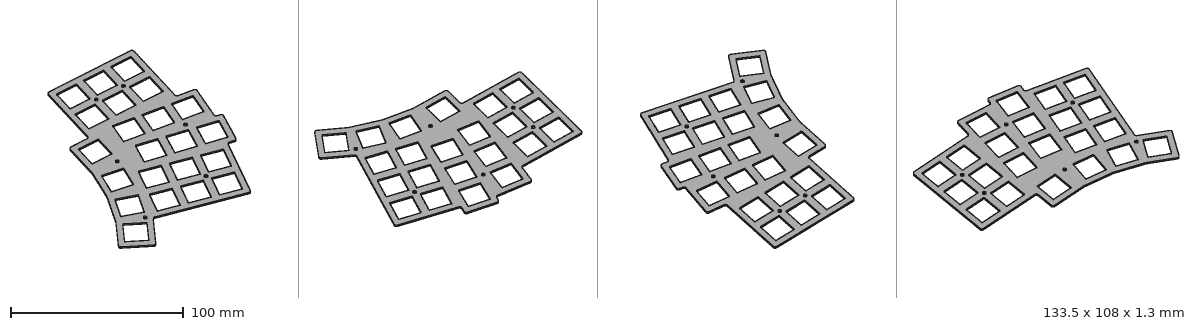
import cadquery as cq
import math

THICKNESS = 1.3
KEY_PITCH = 19.1
KEY_OPENING = 14.0
RIM = 1.3
EDGE_OFFSET = KEY_PITCH / 2 + RIM
CORNER_RADIUS = 1.3
SCREW_HOLE_DIAMETER = 2.1
ROWS = 3
PLATE_LENGTH = 133.5



def neighbour_key(key, columns, rows):
    """Key a number of pitches away, along the tilted axes of the given key."""
    x, y, tilt = key
    cos_tilt = math.cos(math.radians(tilt))
    sin_tilt = math.sin(math.radians(tilt))
    across = columns * KEY_PITCH
    up = rows * KEY_PITCH
    return (x + across * cos_tilt - up * sin_tilt, y + across * sin_tilt + up * cos_tilt, tilt)


outer_pinky = (-PLATE_LENGTH / 2 + EDGE_OFFSET, 29.0, 0)
inner_pinky = neighbour_key(outer_pinky, 1, 0)
ring = (-11.2, 40.5, -7.5)
middle = (12.7, 41.3, -12.5)
index = (32.3, 30.5, -15)
inner_index = neighbour_key(index, 1, 0)
column_tops = [outer_pinky, inner_pinky, ring, middle, index, inner_index]

thumb_1 = (-13.1, -23.2, 0)
thumb_2 = (12.7, -25.2, -10)
thumb_3 = (33.3, -30.8, -20)
THUMB_4_TILT = -30
CORNER_CENTER_REACH = (EDGE_OFFSET - CORNER_RADIUS) * math.sqrt(2) * math.cos(math.radians(45 + THUMB_4_TILT))
thumb_4 = (PLATE_LENGTH / 2 - CORNER_RADIUS - CORNER_CENTER_REACH, -39.7, THUMB_4_TILT)

keys = [neighbour_key(top, 0, -row) for top in column_tops for row in range(ROWS)]
keys += [thumb_1, thumb_2, thumb_3, thumb_4]

screw_points = [
    neighbour_key(outer_pinky, 0.5, -0.5)[:2],
    neighbour_key(outer_pinky, 0.5, -1.5)[:2],
    neighbour_key(index, 0.5, -0.5)[:2],
    (-1.0, 31.8),
    (0.5, -17.1),
    (46.0, -28.7),
]

RIGHT, TOP, LEFT, BOTTOM = 0, 90, 180, 270


def plate_edge(key, side):
    """Straight plate edge beside a key: unit normal and distance from the origin."""
    x, y, tilt = key
    angle = math.radians(tilt + side)
    normal_x = math.cos(angle)
    normal_y = math.sin(angle)
    return (normal_x, normal_y, x * normal_x + y * normal_y + EDGE_OFFSET)


def edge_crossing(first, second):
    """Point where two straight edges cross."""
    ax, ay, a_distance = first
    bx, by, b_distance = second
    determinant = ax * by - ay * bx
    return (
        (a_distance * by - b_distance * ay) / determinant,
        (ax * b_distance - bx * a_distance) / determinant,
    )


bottom_pinky = neighbour_key(outer_pinky, 0, 1 - ROWS)
edges = [
    plate_edge(outer_pinky, LEFT),
    plate_edge(outer_pinky, TOP),
    plate_edge(ring, LEFT),
    plate_edge(ring, TOP),
    plate_edge(middle, LEFT),
    plate_edge(middle, TOP),
    plate_edge(middle, RIGHT),
    plate_edge(index, TOP),
    plate_edge(inner_index, RIGHT),
    plate_edge(thumb_4, TOP),
    plate_edge(thumb_4, RIGHT),
    plate_edge(thumb_4, BOTTOM),
    plate_edge(thumb_3, BOTTOM),
    plate_edge(thumb_2, BOTTOM),
    plate_edge(thumb_1, BOTTOM),
    plate_edge(thumb_1, LEFT),
    plate_edge(bottom_pinky, BOTTOM),
]
corners = [edge_crossing(edge, edges[i - 1]) for i, edge in enumerate(edges)]

plate = cq.Workplane("XY").polyline(corners).close().extrude(THICKNESS)
plate = plate.edges("|Z").fillet(CORNER_RADIUS)

for x, y, tilt in keys:
    opening = cq.Workplane("XY").rect(KEY_OPENING, KEY_OPENING).extrude(THICKNESS)
    opening = opening.rotate((0, 0, 0), (0, 0, 1), tilt).translate((x, y, 0))
    plate = plate.cut(opening)

screws = cq.Workplane("XY").pushPoints(screw_points).circle(SCREW_HOLE_DIAMETER / 2).extrude(THICKNESS)
result = plate.cut(screws)